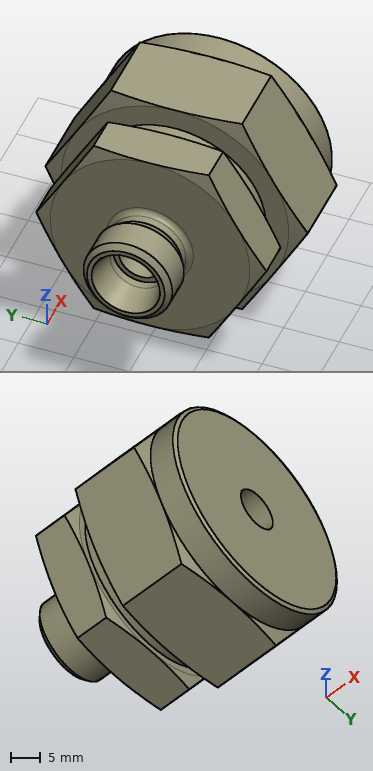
import cadquery as cq
import math

TOTAL_LENGTH = 43.0

SPIGOT_DIAMETER = 16.0
SPIGOT_CHAMFER = 1.0
SPIGOT_LENGTH = 6.4
RELIEF_DIAMETER = 13.7
RELIEF_ANGLE = 30.0
RELIEF_FILLET = 1.0

FLATS_PER_CORNERS = math.cos(math.radians(30))
SMALL_HEX_START = 11.0
SMALL_HEX_LENGTH = 8.0
SMALL_HEX_FLATS = 36.0
LARGE_HEX_START = 22.5
LARGE_HEX_LENGTH = 15.0
LARGE_HEX_CORNERS = 47.35
LARGE_HEX_FLATS = LARGE_HEX_CORNERS * FLATS_PER_CORNERS
CORNER_CHAMFER_ANGLE = 15.0

NECK_DIAMETER = 33.0
COLLAR_DIAMETER = LARGE_HEX_FLATS
COLLAR_CHAMFER_LENGTH = 0.43
COLLAR_CHAMFER_ANGLE = 30.0

MOUTH_DIAMETER = 12.3
MOUTH_HALF_ANGLE = 12.0
SOCKET_DIAMETER = 10.0
SOCKET_DEPTH = 7.0
BORE_DIAMETER = 8.0

SMALL_HEX_END = SMALL_HEX_START + SMALL_HEX_LENGTH
LARGE_HEX_END = LARGE_HEX_START + LARGE_HEX_LENGTH


def revolve_about_x(profile):
    """Turn a closed half profile, drawn as (x, radius), around the X axis."""
    return profile.close().revolve(360, (0, 0, 0), (1, 0, 0))


def neck():
    length = LARGE_HEX_START - SMALL_HEX_END
    return cq.Workplane("YZ", origin=(SMALL_HEX_END, 0, 0)).circle(NECK_DIAMETER / 2).extrude(length)


def spigot():
    radius = SPIGOT_DIAMETER / 2
    relief_radius = RELIEF_DIAMETER / 2
    relief_cone_length = (radius - relief_radius) / math.tan(math.radians(RELIEF_ANGLE))
    fillet_start = SMALL_HEX_START - RELIEF_FILLET
    arc_offset = RELIEF_FILLET * math.sin(math.radians(45))
    fillet_middle = (
        fillet_start + arc_offset,
        relief_radius + RELIEF_FILLET - arc_offset,
    )
    profile = (
        cq.Workplane("XY")
        .moveTo(0, 0)
        .lineTo(0, radius - SPIGOT_CHAMFER)
        .lineTo(SPIGOT_CHAMFER, radius)
        .lineTo(SPIGOT_LENGTH, radius)
        .lineTo(SPIGOT_LENGTH + relief_cone_length, relief_radius)
        .lineTo(fillet_start, relief_radius)
        .threePointArc(fillet_middle, (SMALL_HEX_START, relief_radius + RELIEF_FILLET))
        .lineTo(SMALL_HEX_START, 0)
    )
    return revolve_about_x(profile)


def chamfered_hexagon(start, length, across_flats):
    """Hexagonal prism whose corners are turned down to the flats circle at both faces."""
    flat_radius = across_flats / 2
    corner_radius = flat_radius / FLATS_PER_CORNERS
    middle = start + length / 2
    peak_radius = flat_radius + length / 2 / math.tan(math.radians(CORNER_CHAMFER_ANGLE))
    end = start + length
    prism = cq.Workplane("YZ", origin=(start, 0, 0)).polygon(6, 2 * corner_radius).extrude(length)
    envelope = revolve_about_x(
        cq.Workplane("XY")
        .moveTo(start, 0)
        .lineTo(start, flat_radius)
        .lineTo(middle, peak_radius)
        .lineTo(end, flat_radius)
        .lineTo(end, 0)
    )
    return prism.intersect(envelope)


def collar():
    radius = COLLAR_DIAMETER / 2
    chamfer_depth = COLLAR_CHAMFER_LENGTH / math.tan(math.radians(COLLAR_CHAMFER_ANGLE))
    profile = (
        cq.Workplane("XY")
        .moveTo(LARGE_HEX_END, 0)
        .lineTo(LARGE_HEX_END, radius)
        .lineTo(TOTAL_LENGTH - COLLAR_CHAMFER_LENGTH, radius)
        .lineTo(TOTAL_LENGTH, radius - chamfer_depth)
        .lineTo(TOTAL_LENGTH, 0)
    )
    return revolve_about_x(profile)


def bore():
    socket_radius = SOCKET_DIAMETER / 2
    mouth_radius = MOUTH_DIAMETER / 2
    mouth_depth = (mouth_radius - socket_radius) / math.tan(math.radians(MOUTH_HALF_ANGLE))
    profile = (
        cq.Workplane("XY")
        .moveTo(0, 0)
        .lineTo(0, mouth_radius)
        .lineTo(mouth_depth, socket_radius)
        .lineTo(SOCKET_DEPTH, socket_radius)
        .lineTo(SOCKET_DEPTH, BORE_DIAMETER / 2)
        .lineTo(TOTAL_LENGTH, BORE_DIAMETER / 2)
        .lineTo(TOTAL_LENGTH, 0)
    )
    return revolve_about_x(profile)


result = (
    spigot()
    .union(chamfered_hexagon(SMALL_HEX_START, SMALL_HEX_LENGTH, SMALL_HEX_FLATS))
    .union(neck())
    .union(chamfered_hexagon(LARGE_HEX_START, LARGE_HEX_LENGTH, LARGE_HEX_FLATS))
    .union(collar())
    .cut(bore())
)